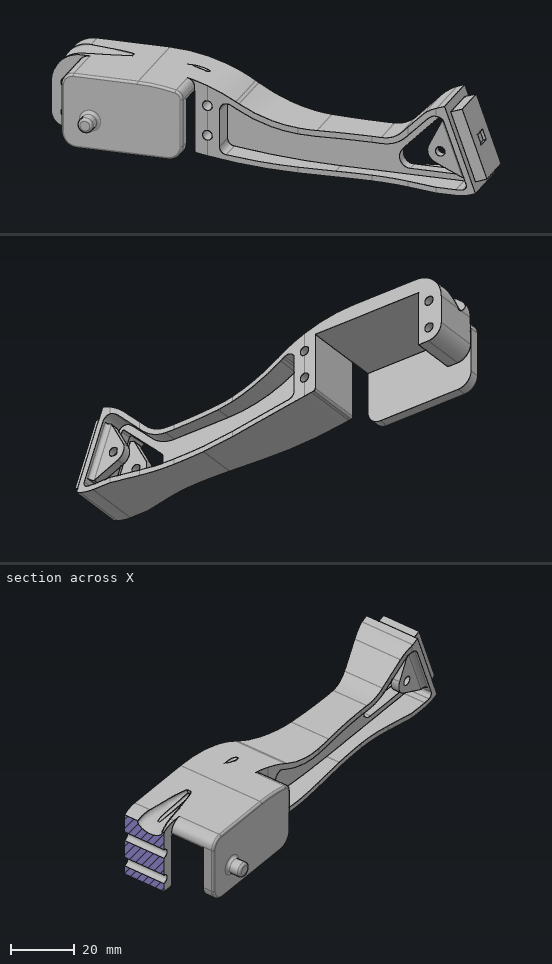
import cadquery as cq
import math

half_width = 10.0
top_z = 30.0

bay_start_x = 8.8
bay_end_x = 49.0
roof_bottom_z = 24.6
roof_lip_radius = 1.3
cheek_bottom_z = 5.0
cheek_inner_y = -17.8
cheek_outer_y = -21.9
cheek_bottom_radius = 5.0
hood_nose_radius = 4.0
hood_tail_radius = 3.0
cheek_edge_radius = 0.8

post_front_y = -5.5
post_top_radius = 10.0
post_bottom_radius = 5.0

mount_hole_diameter = 3.2
mount_hole_columns_x = (4.8, 53.2)
mount_hole_rows_z = (10.0, 20.0)

stud_x = 18.35
stud_z = 15.0
stud_diameter = 5.0
stud_length = 5.0
stud_root_radius = 1.0
stud_tip_radius = 0.9

shoulder_start_x = 34.1
shoulder_radius = 57.0
slope_angle = 30.0
saddle_radius = 50.0
saddle_end_x = 88.6
saddle_z = 15.1
knee_start_x = 109.6
knee_radius = 10.0
neck_angle = 45.0
brow_radius = 14.0
end_tilt = 20.0
end_top_x = 131.7
end_top_z = 29.6
end_length = 30.0
heel_radius = 15.0
belly_start_x = 50.5
belly_end_x = 94.7
belly_radius = 286.0
root_corner_radius = 0.8

waist_half_width = 6.6
taper_start_x = 53.2
taper_turn_x = 82.5
waist_x = 106.5
flare_radius = 60.0
flare_end_x = 128.8

wall = 2.0
recess_start_x = 57.2
recess_root_radius = 2.5
recess_peak_radius = 3.0
recess_toe_radius = 1.5
web_thickness = 4.0

window_neck_inset = 4.5
window_bottom_z = 4.0
end_fillet_radius = 1.5
window_nose_radius = 3.6
window_corner_radius = 0.6

lug_hole_x = 129.4
lug_hole_z = 13.2
lug_hole_diameter = 3.1
lug_nose_radius = 4.2
lug_top_z = 23.8
lug_bottom_z = 5.3
lug_front_y = -7.5
lug_thickness = 3.0

pad_length = 24.0
pad_width = 14.0
pad_slot_length = 4.8
pad_slot_height = 3.5
pad_slot_depth = 1.0
pad_slot_x = 140.7
overall_length = 144.74

cord_hole_diameter = 1.5
cord_hole_z = 28.2
cord_hole_start_x = 8.0
cord_hole_end_x = 50.6
groove_tip_x = 25.3
groove_tip_half_width = 0.8
groove_tip_depth = 1.2
groove_middle_x = 18.0
groove_middle_half_width = 2.6
groove_middle_depth = 2.0
groove_half_width = 3.9
groove_depth = 2.4
groove_bend_half_width = 4.8
groove_toe_half_width = 0.6
groove_toe_depth = 0.3


def direction(angle):
    """Unit vector in the XZ plane at an angle (degrees) from +X towards +Z."""
    return math.cos(math.radians(angle)), math.sin(math.radians(angle))


def shifted(point, angle, distance):
    dx, dz = direction(angle)
    return point[0] + distance * dx, point[1] + distance * dz


def meet(point_a, angle_a, point_b, angle_b):
    """Crossing point of two lines, each given by a point and an angle."""
    ax, az = direction(angle_a)
    bx, bz = direction(angle_b)
    gap_x = point_b[0] - point_a[0]
    gap_z = point_b[1] - point_a[1]
    distance = (gap_x * bz - gap_z * bx) / (ax * bz - az * bx)
    return shifted(point_a, angle_a, distance)


def rounded_outline(corners):
    """Closed XZ outline from (point, radius) corners; radius 0 leaves a corner sharp."""
    stretches = []
    count = len(corners)
    for index, (corner, radius) in enumerate(corners):
        here = cq.Vector(*corner)
        to_previous = (cq.Vector(*corners[index - 1][0]) - here).normalized()
        to_next = (cq.Vector(*corners[(index + 1) % count][0]) - here).normalized()
        half_angle = to_previous.getAngle(to_next) / 2
        tangent = radius / math.tan(half_angle)
        bisector = (to_previous + to_next).normalized()
        to_middle = radius / math.sin(half_angle) - radius
        arc_points = (here + to_previous * tangent, here + bisector * to_middle, here + to_next * tangent)
        stretches.append((radius, [(point.x, point.y) for point in arc_points]))

    outline = cq.Workplane("XZ").moveTo(*stretches[0][1][2])
    for radius, (start, middle, end) in stretches[1:] + stretches[:1]:
        outline = outline.lineTo(*start)
        if radius:
            outline = outline.threePointArc(middle, end)
    return outline.close()


def across(outline, y_from, y_to):
    """Extrude an XZ outline between two Y positions."""
    return outline.extrude(y_from - y_to).translate((0, y_from, 0))


def y_cylinder(x, z, diameter, y_from, y_to):
    return across(cq.Workplane("XZ").center(x, z).circle(diameter / 2), y_from, y_to)


end_angle = end_tilt - 90.0
end_top = (end_top_x, end_top_z)
end_bottom = shifted(end_top, end_angle, end_length)
slope_corner = (shoulder_start_x + shoulder_radius * math.tan(math.radians(slope_angle / 2)), top_z)
saddle_corner = (saddle_end_x - saddle_radius * math.tan(math.radians(slope_angle / 2)), saddle_z)
knee_corner = (knee_start_x + knee_radius * math.tan(math.radians(neck_angle / 2)), saddle_z)
brow_corner = meet(knee_corner, neck_angle, end_top, end_tilt)
heel_corner = meet(end_bottom, end_tilt, (0, 0), 0)
belly_angle = math.degrees(math.asin((belly_end_x - belly_start_x) / belly_radius))
belly_corner = (belly_end_x - belly_radius * math.tan(math.radians(belly_angle / 2)), 0)
root_corner = meet(belly_corner, -belly_angle, (bay_end_x, 0), 90)


lever_corners = [
    ((bay_start_x, top_z), hood_nose_radius),
    (slope_corner, shoulder_radius),
    (saddle_corner, saddle_radius),
    (knee_corner, knee_radius),
    (brow_corner, brow_radius),
    (end_top, 0),
    (end_bottom, 0),
    (heel_corner, heel_radius),
    (belly_corner, belly_radius),
]


def arm_outline():
    """Side outline of the roof and the grip."""
    return rounded_outline(lever_corners + [
        (root_corner, root_corner_radius),
        ((bay_end_x, roof_bottom_z), 0),
        ((bay_start_x, roof_bottom_z), roof_lip_radius),
    ])


def solid_outline():
    """Side outline of the roof and the grip with the bay filled in."""
    return rounded_outline(lever_corners + [
        (root_corner, 0),
        ((bay_start_x, root_corner[1]), 0),
    ])


def flank_cutter():
    """Material outside the waisted plan outline, on the +Y side."""
    depth = half_width - waist_half_width
    turn_fraction = (taper_turn_x - taper_start_x) / (waist_x - taper_start_x)
    turn_y = half_width - depth * turn_fraction
    reach = flare_end_x - waist_x
    to_centre = math.hypot(reach, flare_radius - depth)
    tilt = math.atan2(reach, flare_radius - depth) - math.acos(flare_radius / to_centre)
    flare_turn = (waist_x + flare_radius * math.sin(tilt),
                  waist_half_width + flare_radius * (1 - math.cos(tilt)))
    flare_middle = (waist_x + flare_radius * math.sin(tilt / 2),
                    waist_half_width + flare_radius * (1 - math.cos(tilt / 2)))
    return (
        cq.Workplane("XY")
        .moveTo(bay_end_x, 2 * half_width)
        .lineTo(bay_end_x, half_width)
        .lineTo(taper_start_x, half_width)
        .tangentArcPoint((taper_turn_x, turn_y), relative=False)
        .tangentArcPoint((waist_x, waist_half_width), relative=False)
        .threePointArc(flare_middle, flare_turn)
        .lineTo(flare_end_x, half_width)
        .lineTo(flare_end_x, 2 * half_width)
        .close()
        .extrude(top_z)
    )


def recess():
    """Full-width recess that keeps a wall of even thickness around it."""
    inner = across(solid_outline().offset2D(-wall), -half_width, half_width)
    beyond_root = cq.Workplane("XY").box(
        overall_length, 2 * half_width, top_z, centered=(False, True, False)
    ).translate((recess_start_x, 0, 0))
    inner = inner.intersect(beyond_root)
    inner = inner.edges("|Y and <X").fillet(recess_root_radius)
    inner = inner.edges("|Y and >X").fillet(recess_toe_radius)
    return inner.edges("|Y and >Z").fillet(recess_peak_radius)


def window():
    neck_line = shifted(knee_corner, neck_angle - 90, window_neck_inset)
    end_line = shifted(end_top, end_tilt + 180, wall + end_fillet_radius)
    floor_line = (0, window_bottom_z)
    nose = meet(neck_line, neck_angle, floor_line, 0)
    peak = meet(neck_line, neck_angle, end_line, end_angle)
    toe = meet(floor_line, 0, end_line, end_angle)
    outline = rounded_outline([
        (nose, window_nose_radius),
        (peak, window_corner_radius),
        (toe, window_corner_radius),
    ])
    return across(outline, -web_thickness / 2, web_thickness / 2)


def lug():
    """Lug with a round nose that widens towards the end wall."""
    base_line = shifted(end_top, end_tilt + 180, wall + end_fillet_radius)
    top = meet(base_line, end_angle, (0, lug_top_z), 0)
    bottom = meet(base_line, end_angle, (0, lug_bottom_z), 0)
    into_wall = end_fillet_radius + wall / 2
    centre = cq.Vector(lug_hole_x, lug_hole_z)

    def tangent_point(corner, side):
        offset = cq.Vector(*corner) - centre
        swing = math.degrees(math.acos(lug_nose_radius / offset.Length))
        heading = math.degrees(math.atan2(offset.y, offset.x))
        return shifted((lug_hole_x, lug_hole_z), heading + side * swing, lug_nose_radius)

    nose = (lug_hole_x - lug_nose_radius, lug_hole_z)
    outline = (
        cq.Workplane("XZ")
        .moveTo(*shifted(top, end_tilt, into_wall))
        .lineTo(*top)
        .lineTo(*tangent_point(top, 1))
        .threePointArc(nose, tangent_point(bottom, -1))
        .lineTo(*bottom)
        .lineTo(*shifted(bottom, end_tilt, into_wall))
        .close()
    )
    body = across(outline, lug_front_y, lug_front_y + lug_thickness)

    profile_plane = cq.Plane(
        origin=(top[0], lug_front_y, top[1]),
        xDir=(direction(end_tilt)[0], 0, direction(end_tilt)[1]),
        normal=(direction(end_angle)[0], 0, direction(end_angle)[1]),
    )
    blend = end_fillet_radius * math.sqrt(0.5)
    fillet = (
        cq.Workplane(profile_plane)
        .threePointArc((blend, end_fillet_radius - blend),
                       (end_fillet_radius, end_fillet_radius))
        .lineTo(into_wall, end_fillet_radius)
        .lineTo(into_wall, 0)
        .close()
        .extrude(math.dist(top, bottom))
    )
    return body.union(fillet)


def grip_and_roof():
    body = across(arm_outline(), -half_width, half_width)
    flank = flank_cutter()
    body = body.cut(flank).cut(flank.mirror("XZ"))

    web_slab = cq.Workplane("XY").box(
        overall_length, web_thickness, top_z, centered=(False, True, False)
    ).translate((recess_start_x, 0, 0))
    body = body.cut(recess().cut(web_slab))
    body = body.cut(window())
    body = body.union(lug()).union(lug().mirror("XZ"))
    return body.cut(y_cylinder(lug_hole_x, lug_hole_z, lug_hole_diameter, -half_width, half_width))


def end_pad():
    middle = shifted(end_top, end_angle, end_length / 2)
    lowest_x = shifted(middle, end_angle, pad_length / 2)[0]
    thickness = (overall_length - lowest_x) / math.cos(math.radians(end_tilt))
    face = cq.Plane(origin=(middle[0], 0, middle[1]), xDir=(0, 1, 0),
                    normal=(direction(end_tilt)[0], 0, direction(end_tilt)[1]))
    pad = cq.Workplane(face).rect(pad_width, pad_length).extrude(thickness)
    outer_middle = shifted(middle, end_tilt, thickness)
    slot_drop = (pad_slot_x - outer_middle[0]) / math.sin(math.radians(end_tilt))
    slot = (
        cq.Workplane(face)
        .workplane(offset=thickness - pad_slot_depth)
        .center(0, -slot_drop)
        .rect(pad_slot_length, pad_slot_height)
        .extrude(pad_slot_depth)
    )
    return pad.cut(slot)


def hood():
    """Roof overhang and cheek plate in front of the grip and the post."""
    limits = cq.Workplane("XY").box(
        bay_end_x - bay_start_x, -half_width - cheek_outer_y, top_z - cheek_bottom_z, centered=False
    ).translate((bay_start_x, cheek_outer_y, cheek_bottom_z))
    block = across(solid_outline(), cheek_outer_y, -half_width).intersect(limits)
    block = block.edges("|Y and <Z").fillet(cheek_bottom_radius)
    tail = cq.NearestToPointSelector((bay_end_x, (cheek_outer_y - half_width) / 2, top_z))
    block = block.edges("|Y and >X").edges(tail).fillet(hood_tail_radius)
    block = block.faces("<Y").edges().fillet(cheek_edge_radius)

    bay = cq.Workplane("XY").box(
        overall_length, -half_width - cheek_inner_y, roof_bottom_z, centered=False
    ).translate((0, cheek_inner_y, 0))
    block = block.cut(bay)
    lip = cq.NearestToPointSelector((bay_start_x, (cheek_inner_y - half_width) / 2, roof_bottom_z))
    return block.edges("|Y").edges(lip).fillet(roof_lip_radius)


def post():
    outline = rounded_outline([
        ((0, cheek_bottom_z), post_bottom_radius),
        ((0, top_z), post_top_radius),
        ((post_top_radius + bay_start_x, top_z), 0),
        ((post_top_radius + bay_start_x, roof_bottom_z), 0),
        ((bay_start_x, roof_bottom_z), 0),
        ((bay_start_x, cheek_bottom_z), 0),
    ])
    return across(outline, post_front_y, half_width)


def stud():
    radius = stud_diameter / 2
    root_radius = radius + stud_root_radius
    blend = math.sqrt(0.5)
    section = (
        cq.Workplane("XY")
        .lineTo(root_radius, 0)
        .threePointArc(
            (root_radius - stud_root_radius * blend, -stud_root_radius * (1 - blend)),
            (radius, -stud_root_radius),
        )
        .lineTo(radius, stud_tip_radius - stud_length)
        .threePointArc(
            (radius - stud_tip_radius * (1 - blend), stud_tip_radius * (1 - blend) - stud_length),
            (radius - stud_tip_radius, -stud_length),
        )
        .lineTo(0, -stud_length)
        .close()
    )
    return section.revolve(360, (0, 0), (0, 1)).translate((stud_x, cheek_outer_y, stud_z))


def mount_holes():
    holes = cq.Workplane("XZ")
    for x in mount_hole_columns_x:
        for z in mount_hole_rows_z:
            holes = holes.union(y_cylinder(x, z, mount_hole_diameter, -half_width, half_width))
    return holes


def cord_passage():
    """Tapered groove over the nose of the post, and the straight cord hole behind it."""
    bend_centre = (post_top_radius, top_z - post_top_radius)

    def section(point, angle, half_width_here, depth):
        """Half-buried ellipse that stands across the groove; the angle is that of the surface normal."""
        normal_x, normal_z = direction(angle)
        plane = cq.Plane(origin=(point[0], 0, point[1]), xDir=(0, 1, 0), normal=(normal_z, 0, -normal_x))
        return cq.Workplane(plane).ellipse(half_width_here, depth).wires().val()

    groove = cq.Workplane(cq.Solid.makeLoft([
        section((groove_tip_x, top_z), 90, groove_tip_half_width, groove_tip_depth),
        section((groove_middle_x, top_z), 90, groove_middle_half_width, groove_middle_depth),
        section(shifted(bend_centre, 90, post_top_radius), 90, groove_half_width, groove_depth),
        section(shifted(bend_centre, 135, post_top_radius), 135, groove_bend_half_width, groove_depth),
        section(shifted(bend_centre, 180, post_top_radius), 180, groove_toe_half_width, groove_toe_depth),
    ]))
    hole = (
        cq.Workplane("YZ")
        .center(0, cord_hole_z)
        .circle(cord_hole_diameter / 2)
        .extrude(cord_hole_end_x - cord_hole_start_x)
        .translate((cord_hole_start_x, 0, 0))
    )
    return groove.union(hole)


result = grip_and_roof().union(end_pad()).union(post()).union(hood()).union(stud())
result = result.cut(mount_holes()).cut(cord_passage())